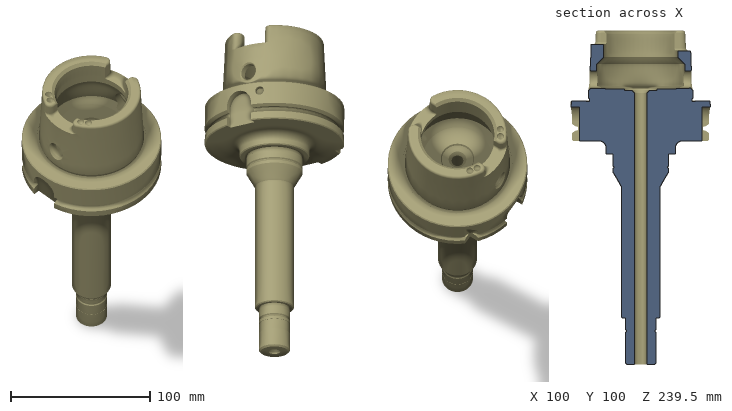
import cadquery as cq
import math


taper_height = 50.0
total_length = 239.5
tip_z = taper_height - total_length

taper_base_radius = 37.8
taper_slope = 0.05
taper_foot_z = 2.0
foot_radius = 37.0
face_relief_radius = 39.3
face_relief_depth = 0.5
foot_bevel = 0.7
crest_fillet = 1.7

mouth_radius = 53.0 / 2
mouth_chamfer = 2.04
mouth_bottom_z = 31.1
undercut_radius = 63.0 / 2
bore_floor_z = 8.6
bore_floor_radius = 50.0 / 2
bore_floor_rise = 1.7
recess_mouth_radius = 12.0
recess_floor_radius = 11.3
recess_depth = 1.2
coolant_radius = 8.5 / 2
coolant_mouth_radius = 12.7 / 2

slot_half_width = 10.0
slot_corner_radius = 4.0
slot_floor_fillet = 1.5
front_slot_floor_z = 40.5
back_slot_floor_z = 36.0

cross_hole_radius = 12.0 / 2
cross_hole_z = 15.0
cross_sink_radius = 14.5 / 2
dimple_radius = 5.0 / 2
dimple_circle_radius = 31.0
dimple_angles = (50.0, 60.5)

flange_radius = 50.0
flange_height = 29.0
flange_chamfer = 0.7
groove_z = -20.0
groove_floor_radius = 46.0
groove_step_radius = 47.7
groove_half_width = 1.55
groove_floor_bevel = 0.5
groove_mouth_half_width = 3.0
key_radius = 10.0
key_center_z = -14.8
key_floor = 44.0
notch_wall = 31.5
side_hole_radius = 3.0
side_hole_z = -7.0
side_hole_angle = 109.0
side_hole_depth = 3.5

hub_radius = 50.0 / 2
hub_fillet = 5.0
hub_bottom_z = -38.5
edge_chamfer = 0.7
neck_radius = 40.5 / 2
cone_bottom_z = -61.8
shank_radius = 28.0 / 2
shank_bottom_z = -156.0
tip_collar_radius = 22.5 / 2
pilot_relief_radius = 22.0 / 2
tip_radius = 22.3 / 2
tip_chamfer = 1.2
pilot_top_z = tip_z + 13.7

collar_relief = 0.2
relief_height = 2.0
lead_height = 2.0
collar_height = 4.3
collar_gap = 2.2
lower_collar_height = 2.2
collar_groove_depth = 0.7

overrun = 2.5

position_tolerance = 0.02


def taper_radius(z):
    return taper_base_radius - taper_slope * z


def collar_points(radius, shoulder_z):
    """Profile points of a relieved step and two collars parted by a groove."""
    relieved = radius - collar_relief
    lead_radius = radius - collar_relief / 2
    lead_z = shoulder_z - relief_height
    collar_z = lead_z - lead_height
    groove_top = collar_z - collar_height
    groove_bottom = groove_top - collar_gap
    bevel = collar_groove_depth
    return [
        (relieved, shoulder_z),
        (relieved, lead_z),
        (lead_radius, lead_z),
        (lead_radius, collar_z),
        (radius, collar_z),
        (radius, groove_top),
        (radius - bevel, groove_top - bevel),
        (radius - bevel, groove_bottom + bevel),
        (radius, groove_bottom),
        (radius, groove_bottom - lower_collar_height),
    ]


def revolve_profile(sketch):
    return sketch.close().revolve(360, (0, 0, 0), (0, 1, 0))


def outer_body():
    hub_arc_z = -flange_height - hub_fillet
    flange_groove = [
        (flange_radius, groove_z + groove_mouth_half_width),
        (groove_step_radius, groove_z + groove_half_width),
        (groove_floor_radius + groove_floor_bevel, groove_z + groove_half_width),
        (groove_floor_radius, groove_z + groove_half_width - groove_floor_bevel),
        (groove_floor_radius, groove_z - groove_half_width + groove_floor_bevel),
        (groove_floor_radius + groove_floor_bevel, groove_z - groove_half_width),
        (groove_step_radius, groove_z - groove_half_width),
        (flange_radius, groove_z - groove_mouth_half_width),
    ]
    tip_collars = collar_points(tip_collar_radius, shank_bottom_z)
    tip_collars_bottom = tip_collars[-1][1]
    upper = [
        (0, taper_height),
        (taper_radius(taper_height), taper_height),
        (taper_radius(taper_foot_z), taper_foot_z),
        (foot_radius, taper_foot_z - foot_bevel),
        (foot_radius, -face_relief_depth),
        (face_relief_radius, -face_relief_depth),
        (face_relief_radius, 0),
        (flange_radius - flange_chamfer, 0),
        (flange_radius, -flange_chamfer),
        *flange_groove,
        (flange_radius, -flange_height + flange_chamfer),
        (flange_radius - flange_chamfer, -flange_height),
        (hub_radius + hub_fillet, -flange_height),
    ]
    lower = [
        (hub_radius, hub_bottom_z + edge_chamfer),
        (hub_radius - edge_chamfer, hub_bottom_z),
        *collar_points(neck_radius, hub_bottom_z),
        (shank_radius, cone_bottom_z),
        (shank_radius, shank_bottom_z + edge_chamfer),
        (shank_radius - edge_chamfer, shank_bottom_z),
        *tip_collars,
        (pilot_relief_radius, tip_collars_bottom),
        (pilot_relief_radius, pilot_top_z),
        (tip_radius, pilot_top_z),
        (tip_radius, tip_z + tip_chamfer),
        (tip_radius - tip_chamfer, tip_z),
        (0, tip_z),
    ]
    arc_offset = hub_fillet * (1 - math.sqrt(0.5))
    profile = cq.Workplane("XZ").polyline(upper)
    profile = profile.threePointArc(
        (hub_radius + arc_offset, -flange_height - arc_offset), (hub_radius, hub_arc_z)
    )
    for point in lower:
        profile = profile.lineTo(*point)
    return revolve_profile(profile)


def clamping_bore():
    recess_z = bore_floor_z - recess_depth
    shoulder_run = undercut_radius - mouth_radius
    points = [
        (0, taper_height),
        (mouth_radius + mouth_chamfer, taper_height),
        (mouth_radius, taper_height - mouth_chamfer),
        (mouth_radius, mouth_bottom_z),
        (undercut_radius, mouth_bottom_z - shoulder_run),
        (undercut_radius, bore_floor_z + bore_floor_rise),
        (bore_floor_radius, bore_floor_z),
        (recess_mouth_radius, bore_floor_z),
        (recess_floor_radius, recess_z),
        (coolant_mouth_radius, recess_z),
        (coolant_radius, recess_z - coolant_mouth_radius + coolant_radius),
        (coolant_radius, tip_z),
        (0, tip_z),
    ]
    return revolve_profile(cq.Workplane("XZ").polyline(points))


def drive_slot(floor_z, side):
    """Square cutter for one slot; side is the sign of Y it lies on."""
    width = 2 * slot_half_width
    reach = taper_base_radius + overrun
    return (
        cq.Workplane("XY", origin=(0, side * reach / 2, floor_z))
        .rect(width, reach)
        .extrude(taper_height - floor_z + overrun)
    )


def is_slot_floor_corner(edge):
    """True for the edges where the floor of a drive slot meets its walls."""
    box = edge.BoundingBox()
    center = edge.Center()
    at_floor = any(
        abs(box.zmin - floor_z) < position_tolerance and abs(box.zmax - floor_z) < position_tolerance
        for floor_z in (front_slot_floor_z, back_slot_floor_z)
    )
    on_rim_surface = math.hypot(center.x, center.y) > taper_radius(taper_height) - slot_floor_fillet
    return at_floor and abs(center.x) > slot_half_width / 2 and not on_rim_surface


def cut_drive_slots(body):
    """Cut both slots and round their wall ends, floor corners and the crest of the rim."""
    body = body.cut(drive_slot(front_slot_floor_z, -1))
    body = body.cut(drive_slot(back_slot_floor_z, 1))
    wall_ends = [edge for edge in body.edges().vals() if edge.geomType() == "HYPERBOLA"]
    body = body.newObject(wall_ends).fillet(slot_corner_radius)
    floor_corners = [edge for edge in body.edges().vals() if is_slot_floor_corner(edge)]
    body = body.newObject(floor_corners).fillet(slot_floor_fillet)
    return body.faces(">Z").edges("not(|X)").fillet(crest_fillet)


def key_slot(center_x, floor, side):
    """Round-topped slot along Y, open at the bottom of the flange."""
    depth = flange_radius - floor + overrun
    leg_height = flange_height + key_center_z + overrun
    slot = (
        cq.Workplane("XZ")
        .center(center_x, key_center_z)
        .moveTo(-key_radius, -leg_height)
        .lineTo(-key_radius, 0)
        .threePointArc((0, key_radius), (key_radius, 0))
        .lineTo(key_radius, -leg_height)
        .close()
        .extrude(depth)
    )
    near_y = floor + depth if side > 0 else -floor
    return slot.translate((0, near_y, 0))


def cross_hole():
    hole = cq.Workplane("XZ").circle(cross_hole_radius).extrude(flange_radius, both=True)
    surface_y = taper_radius(cross_hole_z)
    sink_end = surface_y + overrun
    sink_points = [
        (0, surface_y - cross_sink_radius),
        (cross_sink_radius + overrun, sink_end),
        (0, sink_end),
    ]
    sink = revolve_profile(cq.Workplane("XY").polyline(sink_points))
    sinks = sink.union(sink.rotate((0, 0, 0), (0, 0, 1), 180))
    return hole.union(sinks).translate((0, 0, cross_hole_z))


def rim_dimple(angle):
    x = dimple_circle_radius * math.cos(math.radians(angle))
    y = dimple_circle_radius * math.sin(math.radians(angle))
    return cq.Workplane("XY").sphere(dimple_radius).translate((x, y, taper_height))


def side_hole():
    direction = math.radians(side_hole_angle)
    outward = cq.Vector(math.cos(direction), math.sin(direction), 0)
    start = outward * (flange_radius - side_hole_depth) + cq.Vector(0, 0, side_hole_z)
    return cq.Solid.makeCylinder(side_hole_radius, 2 * side_hole_depth, start, outward)


body = cut_drive_slots(outer_body())
body = body.cut(clamping_bore())
body = body.cut(cross_hole())

for key_side in (-1, 1):
    body = body.cut(key_slot(0, key_floor, key_side))
body = body.cut(key_slot(-notch_wall - key_radius, notch_wall, -1))

for dimple_angle in dimple_angles:
    for angle in (-dimple_angle, dimple_angle - 180):
        body = body.cut(rim_dimple(angle))

result = body.cut(side_hole())